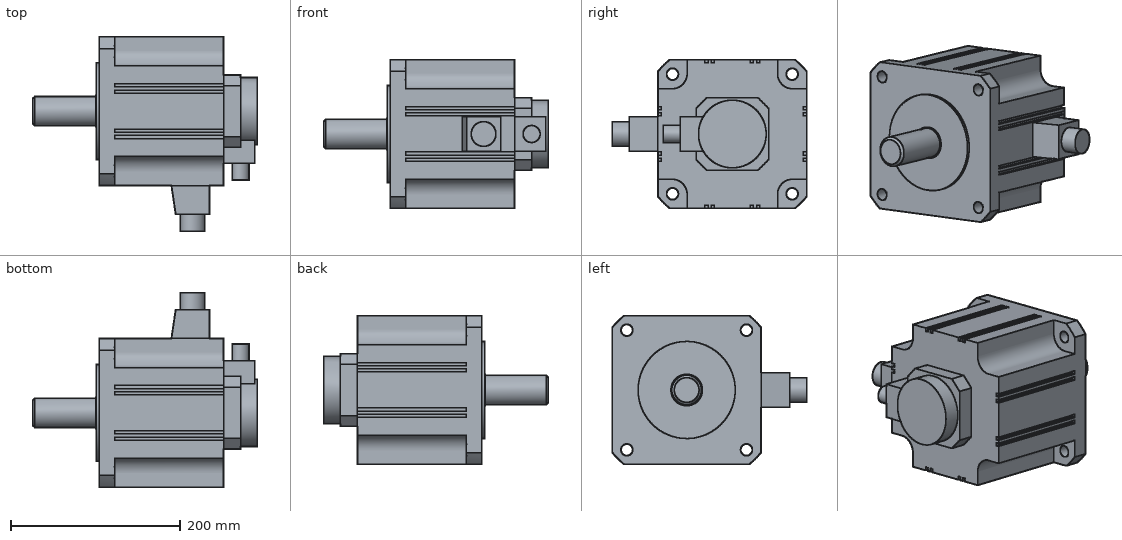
import cadquery as cq
import math

MOTOR_WIDTH = 176.0
MOTOR_LENGTH = 147.4
HALF_WIDTH = MOTOR_WIDTH / 2

FLANGE_THICKNESS = 18.4
FLANGE_CORNER_DIAMETER = 230.0
BOSS_DIAMETER = 115.0
BOSS_HEIGHT = 3.5
BOLT_CIRCLE_DIAMETER = 200.0
BOLT_HOLE_DIAMETER = 13.5
BOLT_OFFSET = BOLT_CIRCLE_DIAMETER / 2 / math.sqrt(2)

RELIEF_DEPTH = 34.5
RELIEF_RADIUS = 17.8
GROOVE_WIDTH = 3.7
GROOVE_DEPTH = 4.0
GROOVE_OFFSETS = (23.1, 30.5)

ENCODER_BASE_WIDTH = 86.0
ENCODER_BASE_CHAMFER = 12.8
ENCODER_BASE_LENGTH = 20.0
ENCODER_CAP_DIAMETER = 80.0
ENCODER_CAP_LENGTH = 20.0

CONNECTOR_HEIGHT = 41.0
CABLE_LENGTH = 20.0
ENCODER_PLUG_LENGTH = 36.7
ENCODER_PLUG_REACH = 61.7
ENCODER_CABLE_DIAMETER = 20.2
ENCODER_CABLE_X = MOTOR_LENGTH + ENCODER_BASE_LENGTH
POWER_PLUG_REACH = 122.0
POWER_PLUG_REAR_X = 130.5
POWER_PLUG_ROOT_LENGTH = 45.2
POWER_PLUG_TIP_LENGTH = 40.2
POWER_CABLE_DIAMETER = 29.3
POWER_CABLE_X = POWER_PLUG_REAR_X - POWER_PLUG_TIP_LENGTH / 2

SHAFT_DIAMETER = 35.0
SHAFT_REACH = 78.7
SHAFT_CHAMFER = 3.0
COLLAR_DIAMETER = 37.2
COLLAR_LENGTH = 0.8


def disc(diameter, start_x, length):
    """Cylinder on the shaft axis, running toward +X from start_x."""
    return cq.Workplane("YZ", origin=(start_x, 0, 0)).circle(diameter / 2).extrude(length)


def square_bar(width, start_x, length):
    """Square bar centred on the shaft axis, running toward +X from start_x."""
    return cq.Workplane("YZ", origin=(start_x, 0, 0)).rect(width, width).extrude(length)


def make_flange():
    corner_circle = disc(FLANGE_CORNER_DIAMETER, 0, FLANGE_THICKNESS)
    plate = square_bar(MOTOR_WIDTH, 0, FLANGE_THICKNESS).intersect(corner_circle)
    bolt_spacing = 2 * BOLT_OFFSET
    bolt_holes = (
        cq.Workplane("YZ")
        .rect(bolt_spacing, bolt_spacing, forConstruction=True)
        .vertices()
        .circle(BOLT_HOLE_DIAMETER / 2)
        .extrude(FLANGE_THICKNESS)
    )
    boss = disc(BOSS_DIAMETER, -BOSS_HEIGHT, BOSS_HEIGHT)
    return plate.cut(bolt_holes).union(boss)


def make_corner_relief(length):
    """Square bar on the +Y +Z corner with its inner edge rounded."""
    return (
        cq.Workplane("YZ", origin=(FLANGE_THICKNESS, HALF_WIDTH, HALF_WIDTH))
        .rect(2 * RELIEF_DEPTH, 2 * RELIEF_DEPTH)
        .extrude(length)
        .edges("|X")
        .fillet(RELIEF_RADIUS)
    )


def make_face_grooves(length):
    """Two pairs of grooves along the top (+Z) face."""
    centers = [(side * offset, HALF_WIDTH) for side in (-1, 1) for offset in GROOVE_OFFSETS]
    return (
        cq.Workplane("YZ", origin=(FLANGE_THICKNESS, 0, 0))
        .pushPoints(centers)
        .rect(GROOVE_WIDTH, 2 * GROOVE_DEPTH)
        .extrude(length)
    )


def make_motor_body():
    length = MOTOR_LENGTH - FLANGE_THICKNESS
    body = square_bar(MOTOR_WIDTH, FLANGE_THICKNESS, length)
    relief = make_corner_relief(length)
    grooves = make_face_grooves(length)
    for angle in (0, 90, 180, 270):
        body = body.cut(relief.rotate((0, 0, 0), (1, 0, 0), angle))
        body = body.cut(grooves.rotate((0, 0, 0), (1, 0, 0), angle))
    return body


def make_encoder():
    base = square_bar(ENCODER_BASE_WIDTH, MOTOR_LENGTH, ENCODER_BASE_LENGTH)
    base = base.edges("|X").chamfer(ENCODER_BASE_CHAMFER)
    cap = disc(ENCODER_CAP_DIAMETER, MOTOR_LENGTH + ENCODER_BASE_LENGTH, ENCODER_CAP_LENGTH)
    return base.union(cap)


def make_cable(diameter, center_x, reach):
    """Cable stub pointing to -Y from a connector face at Y = -reach."""
    return cq.Workplane("XZ", origin=(center_x, -reach, 0)).circle(diameter / 2).extrude(CABLE_LENGTH)


def make_encoder_connector():
    plug = cq.Workplane("XY").box(
        ENCODER_PLUG_LENGTH, ENCODER_PLUG_REACH, CONNECTOR_HEIGHT, centered=(False, False, True)
    )
    plug = plug.translate((MOTOR_LENGTH, -ENCODER_PLUG_REACH, 0))
    return plug.union(make_cable(ENCODER_CABLE_DIAMETER, ENCODER_CABLE_X, ENCODER_PLUG_REACH))


def make_power_connector():
    plug = (
        cq.Workplane("XY")
        .moveTo(POWER_PLUG_REAR_X, -HALF_WIDTH)
        .lineTo(POWER_PLUG_REAR_X - POWER_PLUG_ROOT_LENGTH, -HALF_WIDTH)
        .lineTo(POWER_PLUG_REAR_X - POWER_PLUG_TIP_LENGTH, -POWER_PLUG_REACH)
        .lineTo(POWER_PLUG_REAR_X, -POWER_PLUG_REACH)
        .close()
        .extrude(CONNECTOR_HEIGHT / 2, both=True)
    )
    return plug.union(make_cable(POWER_CABLE_DIAMETER, POWER_CABLE_X, POWER_PLUG_REACH))


def make_housing():
    housing = make_flange().union(make_motor_body())
    housing = housing.union(make_encoder())
    housing = housing.union(make_encoder_connector())
    return housing.union(make_power_connector())


def make_shaft():
    """Shaft with a thin collar that rests on the front of the pilot boss."""
    length = SHAFT_REACH - BOSS_HEIGHT
    shaft = disc(SHAFT_DIAMETER, -SHAFT_REACH, length).faces("<X").chamfer(SHAFT_CHAMFER)
    collar = disc(COLLAR_DIAMETER, -BOSS_HEIGHT - COLLAR_LENGTH, COLLAR_LENGTH)
    return shaft.union(collar)


housing = make_housing()
shaft = make_shaft()

result = cq.Compound.makeCompound([housing.solids().val(), shaft.solids().val()])